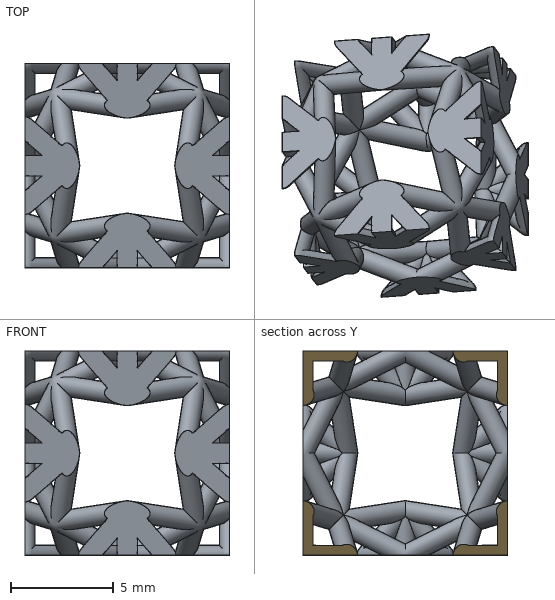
import cadquery as cq

cell_side = 10.0
half_side = cell_side / 2
strut_diameter = 1.0
strut_radius = strut_diameter / 2

inner_offset = 3.33
face_offset = 2.82
edge_offset = 1.88

SIDES = (-1, 1)


def strut(start, end):
    """Round bar between two points."""
    axis = cq.Vector(*end) - cq.Vector(*start)
    return cq.Solid.makeCylinder(strut_radius, axis.Length, cq.Vector(*start), axis)


def joint(center):
    """Ball that rounds off the struts meeting at a point."""
    return cq.Workplane().sphere(strut_radius).translate(center).val()


def fuse_all(solids):
    """Join a list of solids in one operation."""
    return solids[0].fuse(*solids[1:])


def edge_cluster(axis_shift, x_side, y_side):
    """Struts gathered around one cube edge, untrimmed.

    The edge is described parallel to Z; axis_shift cycles the axes to reach the other directions.
    """

    def place(x, y, z):
        point = (x_side * x, y_side * y, z)
        return point[axis_shift:] + point[:axis_shift]

    edge_middle = place(half_side, half_side, 0)
    face_nodes = [place(face_offset, half_side, 0), place(half_side, face_offset, 0)]
    edge_nodes = [place(half_side, half_side, side * edge_offset) for side in SIDES]
    inner_nodes = [place(inner_offset, inner_offset, side * inner_offset) for side in SIDES]

    solids = [joint(node) for node in [edge_middle] + face_nodes + edge_nodes]
    for face_node in face_nodes:
        for end in [edge_middle] + edge_nodes + inner_nodes:
            solids.append(strut(face_node, end))
    return fuse_all(solids)


cell_cube = cq.Workplane().box(cell_side, cell_side, cell_side).val()
edge_clusters = [
    edge_cluster(axis_shift, x_side, y_side).intersect(cell_cube)
    for axis_shift in range(3)
    for x_side in SIDES
    for y_side in SIDES
]

inner_joints = [
    joint((x_side * inner_offset, y_side * inner_offset, z_side * inner_offset))
    for x_side in SIDES
    for y_side in SIDES
    for z_side in SIDES
]

lattice = fuse_all(inner_joints + edge_clusters)
result = cq.Workplane(obj=lattice.Solids()[0]).clean()